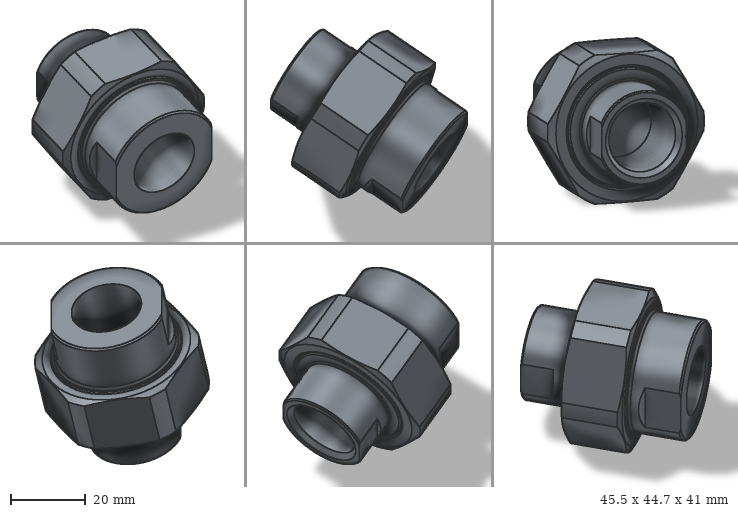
import cadquery as cq
import math


total_length = 45.5
bore_radius = 19.0 / 2
joint_x = 20.48

nut_start = 13.55
nut_end = 30.58
across_flats = 41.0
corner_diameter = 44.7
nut_face_radius = 20.2
nut_chamfer_length = 0.75
lip_bore_radius = 33.5 / 2
lip_edge_chamfer = 0.5
lip_length = 2.75
lip_inner_x = nut_start + lip_length

tail_radius = 26.0 / 2
tail_end_chamfer = 0.4
tail_countersink_radius = 21.8 / 2
tail_countersink_depth = 1.4
tail_root_chamfer = 0.45
neck_radius = 33.0 / 2
neck_edge_chamfer = 0.4
tail_flat_width = 24.0
tail_flat_length = 9.05
tail_flat_runout = 0.25

socket_radius = 33.0 / 2
socket_end_chamfer = 0.5
socket_shoulder_x = 31.08
socket_root_radius = 17.05
socket_root_length = 0.77
flange_radius = 36.0 / 2
flange_edge_chamfer = 0.35
socket_flat_width = 30.1
socket_flat_start = 35.55


def revolve_profile(points):
    """Revolve a closed (x, radius) outline about the X axis."""
    return cq.Workplane("XY").polyline(points).close().revolve(360, (0, 0, 0), (1, 0, 0))


def cut_flats(body, body_radius, flat_width, flat_end_x, open_end_x, runout):
    """Cut two opposite flats, facing -Y and +Y, whose inner ends slope outward over the runout."""
    flat_y = flat_width / 2
    inward = math.copysign(1, flat_end_x - open_end_x)
    for side in (-1, 1):
        cutter = (
            cq.Workplane("XY")
            .polyline([
                (open_end_x, side * flat_y),
                (flat_end_x, side * flat_y),
                (flat_end_x + inward * runout, side * body_radius),
                (open_end_x, side * body_radius),
            ])
            .close()
            .extrude(body_radius, both=True)
        )
        body = body.cut(cutter)
    return body


def make_nut():
    """Hexagonal nut with rounded corners, chamfered faces and a retaining lip."""
    corner_radius = corner_diameter / 2
    hexagon = (
        cq.Workplane("YZ", origin=(nut_start, 0, 0))
        .polygon(6, across_flats / math.cos(math.pi / 6))
        .extrude(nut_end - nut_start)
    )
    envelope = revolve_profile([
        (nut_start, 0),
        (nut_start, nut_face_radius),
        (nut_start + nut_chamfer_length, corner_radius),
        (nut_end - nut_chamfer_length, corner_radius),
        (nut_end, nut_face_radius),
        (nut_end, 0),
    ])
    opening = revolve_profile([
        (nut_start, 0),
        (nut_start, lip_bore_radius + lip_edge_chamfer),
        (nut_start + lip_edge_chamfer, lip_bore_radius),
        (lip_inner_x, lip_bore_radius),
        (lip_inner_x, flange_radius),
        (nut_end, flange_radius),
        (nut_end, 0),
    ])
    return hexagon.intersect(envelope).cut(opening)


def make_tailpiece():
    """Narrow pipe piece with a collar held behind the lip of the nut."""
    body = revolve_profile([
        (0, tail_countersink_radius),
        (0, tail_radius - tail_end_chamfer),
        (tail_end_chamfer, tail_radius),
        (nut_start - tail_root_chamfer, tail_radius),
        (nut_start, tail_radius + tail_root_chamfer),
        (nut_start, neck_radius - neck_edge_chamfer),
        (nut_start + neck_edge_chamfer, neck_radius),
        (lip_inner_x, neck_radius),
        (lip_inner_x, flange_radius),
        (joint_x, flange_radius),
        (joint_x, bore_radius),
        (tail_countersink_depth, bore_radius),
    ])
    return cut_flats(body, tail_radius, tail_flat_width, tail_flat_length, 0, tail_flat_runout)


def make_socket_piece():
    """Wide pipe piece with a flange that fills the open end of the nut."""
    body = revolve_profile([
        (joint_x, bore_radius),
        (joint_x, flange_radius),
        (socket_shoulder_x - flange_edge_chamfer, flange_radius),
        (socket_shoulder_x, flange_radius - flange_edge_chamfer),
        (socket_shoulder_x, socket_root_radius),
        (socket_shoulder_x + socket_root_length, socket_radius),
        (total_length - socket_end_chamfer, socket_radius),
        (total_length, socket_radius - socket_end_chamfer),
        (total_length, bore_radius),
    ])
    runout = socket_radius - socket_flat_width / 2
    return cut_flats(body, socket_radius, socket_flat_width, socket_flat_start, total_length, runout)


nut = make_nut()
tailpiece = make_tailpiece()
socket_piece = make_socket_piece()

result = cq.Compound.makeCompound([nut.val(), tailpiece.val(), socket_piece.val()])